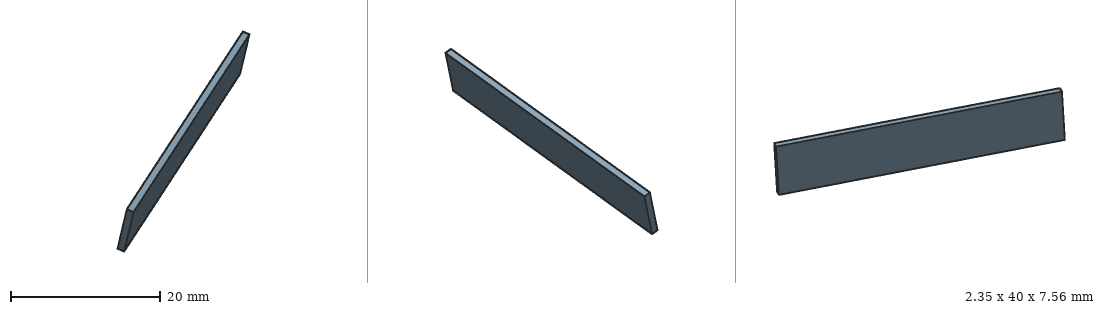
import cadquery as cq

length = 40.0
thickness = 1.0
height = 7.5
lean_angle = 10.5

result = (
    cq.Workplane("XY")
    .box(thickness, length, height)
    .rotate((0, 0, 0), (0, 1, 0), lean_angle)
)